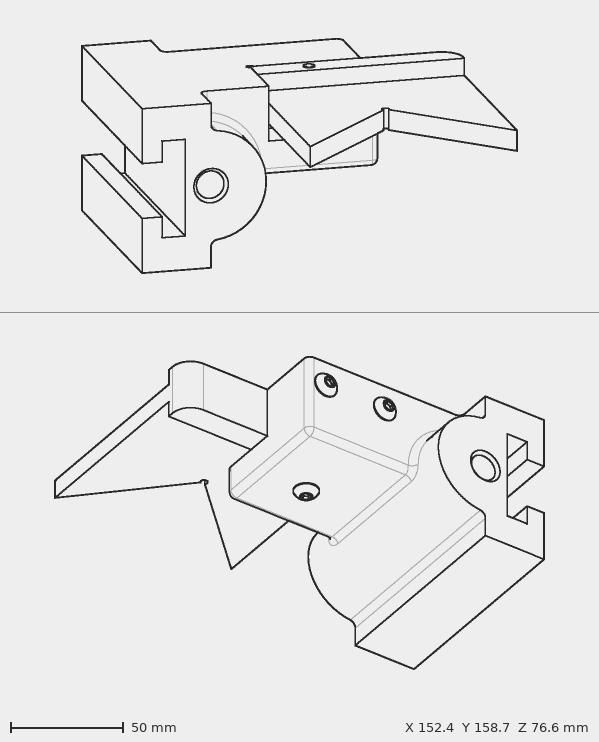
import cadquery as cq
import math


clamp_width = 101.6
clamp_height = 76.2
clamp_depth = 31.8
nose_radius = 25.4
nose_fillet = 3.2
slot_mouth = 25.4
slot_width = 44.8
lip_depth = 9.2
slot_depth = 19.8
bore_diameter = 12.7
bore_chamfer = 1.6
clamp_middle_z = -clamp_height / 2

arm_width = 63.5
arm_height = 41.1
arm_end_y = 114.3
arm_edge_radius = 3.2
arm_root_fillet = 3.2
arm_left_x = (clamp_width - arm_width) / 2
arm_right_x = arm_left_x + arm_width

bar_width = 12.7
bar_height = 25.4
bar_corner_radius = 9.8
plate_width = 101.6
plate_length = 95.2
blade_thickness = 9.5
relief_diameter = 3.2
plate_left_x = clamp_width / 2
plate_right_x = plate_left_x + plate_width
plate_front_y = 63.5
plate_end_y = plate_front_y + plate_length
notch_depth = plate_length / 2

shank_diameter = 5.1
shank_length = 41.5
head_diameter = 11.7
head_height = 3.3
rim_height = 0.5
head_flat_diameter = 5.7
socket_flats = 4.0
socket_depth = 1.6
socket_tip_depth = 1.1

screw_spacing = 31.8
front_screw_y = 73.0
rear_screw_y = front_screw_y + screw_spacing
side_screw_z = -bar_height / 2
bottom_screw_x = plate_left_x + bar_width / 2
bottom_screw_y = front_screw_y + screw_spacing / 2

margin = 0.2

screw_places = [
    ((arm_left_x, front_screw_y, side_screw_z), (1, 0, 0), 0),
    ((arm_left_x, rear_screw_y, side_screw_z), (1, 0, 0), 20),
    ((bottom_screw_x, bottom_screw_y, -arm_height), (0, 0, 1), 0),
]


def block(x_range, y_range, z_range):
    """Rectangular block between the given limits."""
    size = [high - low for low, high in (x_range, y_range, z_range)]
    corner = (x_range[0], y_range[0], z_range[0])
    return cq.Workplane("XY").box(*size, centered=False).translate(corner)


def make_clamp():
    """Block and round nose, joined by small fillets."""
    body = block((0, clamp_width), (0, clamp_depth), (-clamp_height, 0))
    nose = (
        cq.Workplane("YZ")
        .center(clamp_depth, clamp_middle_z)
        .circle(nose_radius)
        .extrude(clamp_width)
    )
    inner_corners = cq.selectors.BoxSelector(
        (-margin, clamp_depth - margin, clamp_middle_z - nose_radius - margin),
        (clamp_width + margin, clamp_depth + margin, clamp_middle_z + nose_radius + margin),
    )
    return body.union(nose).edges("|X").edges(inner_corners).fillet(nose_fillet)


def make_arm():
    """Arm with rounded rear corners and rounded lower edges."""
    arm = block((arm_left_x, arm_right_x), (clamp_depth / 2, arm_end_y), (-arm_height, 0))
    arm = arm.edges("|Z and >Y").fillet(arm_edge_radius)
    return arm.faces("<Z").edges("not <Y").fillet(arm_edge_radius)


def make_t_slot():
    """T-slot cutter along the whole clamp, open to the front."""
    slot_range = (clamp_middle_z - slot_width / 2, clamp_middle_z + slot_width / 2)
    mouth_range = (clamp_middle_z - slot_mouth / 2, clamp_middle_z + slot_mouth / 2)
    head = block((0, clamp_width), (lip_depth, slot_depth), slot_range)
    mouth = block((0, clamp_width), (0, lip_depth), mouth_range)
    return head.union(mouth)


def make_bore():
    """Through bore along X on the nose axis, with a countersink at both ends."""
    radius = bore_diameter / 2
    rim = radius + bore_chamfer
    return (
        cq.Workplane("XY")
        .polyline([
            (0, 0),
            (0, rim),
            (bore_chamfer, radius),
            (clamp_width - bore_chamfer, radius),
            (clamp_width, rim),
            (clamp_width, 0),
        ])
        .close()
        .revolve(360, (0, 0), (1, 0))
        .translate((0, clamp_depth, clamp_middle_z))
    )


def make_plate_pocket():
    """Corner pocket in the arm that seats the V-plate, with a relief hole in its corner."""
    pocket = block((plate_left_x, arm_right_x), (plate_front_y, arm_end_y), (-bar_height, 0))
    relief = (
        cq.Workplane("XY")
        .center(plate_left_x, plate_front_y)
        .circle(relief_diameter / 2)
        .extrude(-bar_height)
    )
    return pocket.union(relief)


def make_housing():
    """Clamp and arm as one solid, with the slot, bore, pocket and screw holes."""
    housing = make_clamp().union(make_arm())
    root = cq.selectors.BoxSelector(
        (arm_left_x - margin, clamp_depth - margin, -arm_height - margin),
        (arm_right_x + margin, clamp_depth + nose_radius, margin),
        boundingbox=True,
    )
    housing = housing.edges(root).fillet(arm_root_fillet)
    return housing.cut(make_t_slot()).cut(make_bore()).cut(make_plate_pocket())


def make_v_plate():
    """Bar and blade as one solid, with a right-angled notch that has a round relief."""
    bar = block(
        (plate_left_x, plate_left_x + bar_width),
        (plate_front_y, plate_end_y),
        (-bar_height, 0),
    )
    bar = bar.edges("|Z and <X and >Y").fillet(bar_corner_radius)
    blade_top = -(bar_height - blade_thickness) / 2
    apex = (plate_right_x - notch_depth, plate_front_y + notch_depth)
    blade = (
        cq.Workplane("XY", origin=(0, 0, blade_top))
        .moveTo(plate_left_x + bar_width, plate_front_y)
        .lineTo(plate_right_x, plate_front_y)
        .lineTo(*apex)
        .lineTo(plate_right_x, plate_end_y)
        .lineTo(plate_left_x + bar_width, plate_end_y)
        .close()
        .extrude(-blade_thickness)
    )
    relief = (
        cq.Workplane("XY", origin=(0, 0, blade_top))
        .center(*apex)
        .circle(relief_diameter / 2)
        .extrude(-blade_thickness)
    )
    return bar.union(blade.cut(relief))


def screw_plane(seat, direction):
    """Plane at the head seat whose normal runs along the shank."""
    return cq.Plane(origin=seat, xDir=(0, 1, 0), normal=direction)


def make_shank(seat, direction):
    """Plain screw shank, also used to cut its hole."""
    plane = screw_plane(seat, direction)
    return cq.Workplane(plane).circle(shank_diameter / 2).extrude(shank_length)


def make_screw(seat, direction, socket_turn):
    """Button-head screw: rimmed dome with a flat top, hex socket with a conical floor, and shank."""
    base = head_diameter / 2
    flat = head_flat_diameter / 2
    dome_height = head_height - rim_height
    centre_drop = (base**2 - flat**2 - dome_height**2) / (2 * dome_height)
    dome_radius = math.hypot(base, centre_drop)
    middle = math.sqrt(dome_radius**2 - (centre_drop + dome_height / 2) ** 2)
    head = (
        cq.Workplane("XZ")
        .lineTo(base, 0)
        .lineTo(base, -rim_height)
        .threePointArc((middle, -rim_height - dome_height / 2), (flat, -head_height))
        .lineTo(0, -head_height)
        .close()
        .revolve(360, (0, 0), (0, 1))
    )
    socket = (
        cq.Workplane("XY", origin=(0, 0, -head_height))
        .polygon(6, socket_flats, circumscribed=True)
        .extrude(socket_depth)
        .rotate((0, 0, 0), (0, 0, 1), socket_turn)
    )
    socket_tip = cq.Workplane(
        cq.Solid.makeCone(socket_flats / 2, 0, socket_tip_depth)
    ).translate((0, 0, socket_depth - head_height))
    head = head.cut(socket).cut(socket_tip)
    placed_head = head.val().moved(screw_plane(seat, direction).location)
    return make_shank(seat, direction).union(cq.Workplane(placed_head))


housing = make_housing()
v_plate = make_v_plate()
screws = []
for seat, direction, socket_turn in screw_places:
    shank_hole = make_shank(seat, direction)
    housing = housing.cut(shank_hole)
    v_plate = v_plate.cut(shank_hole)
    screws.append(make_screw(seat, direction, socket_turn).val())

result = cq.Compound.makeCompound([housing.val(), v_plate.val(), *screws])